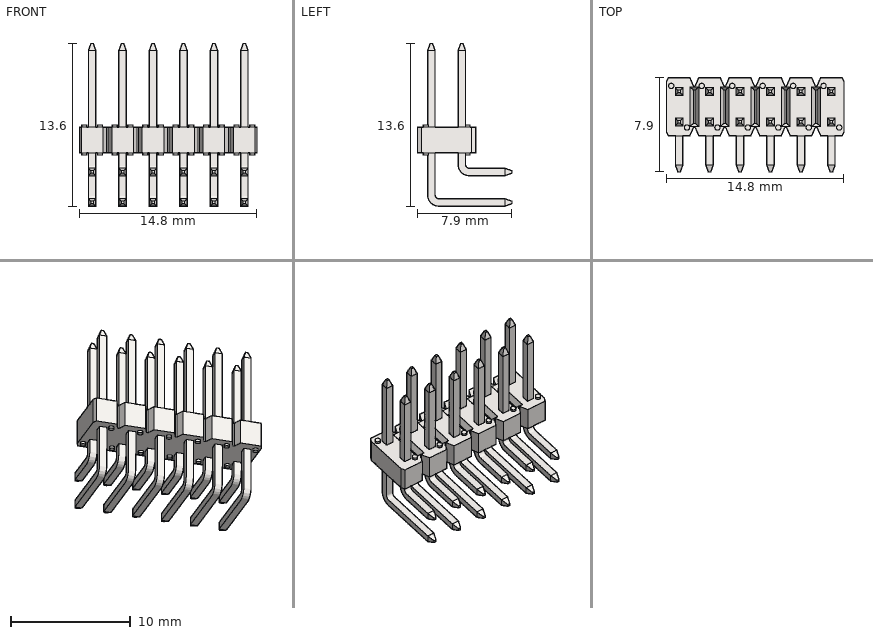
import cadquery as cq

pin_count = 6
pitch = 2.54
body_length = 14.84
body_depth = 4.87
body_height = 2.15

notch_mouth = 0.74
notch_root = 0.13
notch_depth = 0.7
corner_depth = 0.35

pocket_width = 0.74
pocket_length = 3.3
pocket_floor_width = 0.12
pocket_floor_length = 2.76
pocket_depth = 0.49

peg_diameter = 0.45
peg_height = 0.2
peg_offset_x = 0.65
peg_offset_y = 1.74

pin_width = 0.64
tip_width = 0.21
tip_length = 0.6
bend_inner_radius = 0.3
pin_top = 9.13
lower_leg_bottom = -4.45
leg_end_y = -5.46

half_length = body_length / 2
half_depth = body_depth / 2
half_pin = pin_width / 2
bend_radius = bend_inner_radius + half_pin
row_y = pitch / 2
pin_xs = [(i - (pin_count - 1) / 2) * pitch for i in range(pin_count)]
break_xs = [x + pitch / 2 for x in pin_xs[:-1]]
corner_width = half_length - pin_xs[-1] - (pitch - notch_mouth) / 2


def make_body():
    """Block with cut end corners and V breaks on both long sides."""
    body = cq.Workplane("XY").box(
        body_length, body_depth, body_height, centered=(True, True, False)
    )
    for side in (-1, 1):
        edge = side * half_depth
        for x in break_xs:
            root_y = side * (half_depth - notch_depth)
            notch = (
                cq.Workplane("XY")
                .moveTo(x - notch_mouth / 2, edge)
                .lineTo(x - notch_root / 2, root_y)
                .lineTo(x + notch_root / 2, root_y)
                .lineTo(x + notch_mouth / 2, edge)
                .close()
                .extrude(body_height)
            )
            body = body.cut(notch)
        for end in (-1, 1):
            corner = (
                cq.Workplane("XY")
                .moveTo(end * half_length, edge)
                .lineTo(end * (half_length - corner_width), edge)
                .lineTo(end * half_length, side * (half_depth - corner_depth))
                .close()
                .extrude(body_height)
            )
            body = body.cut(corner)
    return body


def make_pocket(x):
    """Pocket with all four walls sloping in to a narrow floor."""
    return (
        cq.Workplane("XY", origin=(x, 0, body_height))
        .rect(pocket_width, pocket_length)
        .workplane(offset=-pocket_depth)
        .rect(pocket_floor_width, pocket_floor_length)
        .loft()
    )


def make_peg(x, y):
    """Peg passing through the body and standing out of its top and underside."""
    return (
        cq.Workplane("XY", origin=(x, y, -peg_height))
        .circle(peg_diameter / 2)
        .extrude(body_height + 2 * peg_height)
    )


def make_tip(plane):
    """Square point that tapers along the normal of the given plane."""
    return (
        cq.Workplane(plane)
        .rect(pin_width, pin_width)
        .workplane(offset=tip_length)
        .rect(tip_width, tip_width)
        .loft()
    )


def make_pin(x, y, leg_bottom):
    """Upright square pin bent toward -Y at the bottom, pointed at both ends."""
    shaft_top = pin_top - tip_length
    leg_end = leg_end_y + tip_length
    leg_z = leg_bottom + half_pin
    path = (
        cq.Workplane("YZ", origin=(x, 0, 0))
        .moveTo(y, shaft_top)
        .lineTo(y, leg_z + bend_radius)
        .radiusArc((y - bend_radius, leg_z), bend_radius)
        .lineTo(leg_end, leg_z)
    )
    shaft = (
        cq.Workplane("XY", origin=(x, y, shaft_top))
        .rect(pin_width, pin_width)
        .sweep(path)
    )
    top_tip = make_tip(cq.Plane(origin=(x, y, shaft_top), xDir=(1, 0, 0), normal=(0, 0, 1)))
    leg_tip = make_tip(cq.Plane(origin=(x, leg_end, leg_z), xDir=(1, 0, 0), normal=(0, -1, 0)))
    return shaft.union(top_tip).union(leg_tip)


result = make_body()
for break_x in break_xs:
    result = result.cut(make_pocket(break_x))

for pin_x in pin_xs:
    result = result.union(make_peg(pin_x - peg_offset_x, peg_offset_y))
    result = result.union(make_peg(pin_x + peg_offset_x, -peg_offset_y))
    result = result.union(make_pin(pin_x, row_y, lower_leg_bottom))
    result = result.union(make_pin(pin_x, -row_y, lower_leg_bottom + pitch))